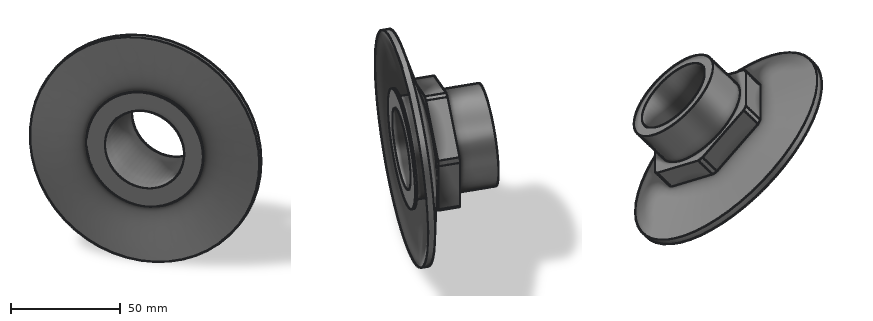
import cadquery as cq
import math

overall_length = 40.0
bore_diameter = 38.0
sleeve_diameter = 47.8
head_diameter = 56.0
head_thickness = 1.0

flange_diameter = 110.0
rim_thickness = 3.3
flange_depth = 11.2
flange_hole_diameter = 49.0
flange_inner_depth = flange_depth - rim_thickness

nut_thickness = 10.0
nut_across_flats = 55.0
nut_corner_diameter = 62.0


def cylinder_along_y(diameter, start_y, end_y):
    """Solid cylinder around the Y axis between two Y positions."""
    return (
        cq.Workplane("XZ", origin=(0, start_y, 0))
        .circle(diameter / 2)
        .extrude(start_y - end_y)
    )


def make_bushing():
    """Sleeve with a thin flat head at the front of the flange."""
    head = cylinder_along_y(head_diameter, 0, head_thickness)
    sleeve = cylinder_along_y(sleeve_diameter, 0, overall_length)
    bore = cylinder_along_y(bore_diameter, 0, overall_length)
    return head.union(sleeve).cut(bore)


def make_flange():
    """Dished conical plate of constant axial thickness around a clearance hole."""
    hole_radius = flange_hole_diameter / 2
    rim_radius = flange_diameter / 2
    return (
        cq.Workplane("XY")
        .moveTo(hole_radius, flange_inner_depth)
        .lineTo(rim_radius, 0)
        .lineTo(rim_radius, rim_thickness)
        .lineTo(hole_radius, flange_depth)
        .close()
        .revolve(360, (0, 0, 0), (0, 1, 0))
    )


def make_nut():
    """Hexagonal nut with corners along Z, trimmed by a cylinder."""
    end_y = flange_depth + nut_thickness
    hexagon = (
        cq.Workplane("XZ", origin=(0, flange_depth, 0))
        .transformed(rotate=(0, 0, 90))
        .polygon(6, nut_across_flats / math.cos(math.pi / 6))
        .extrude(-nut_thickness)
    )
    corner_trim = cylinder_along_y(nut_corner_diameter, flange_depth, end_y)
    hole = cylinder_along_y(sleeve_diameter, flange_depth, end_y)
    return hexagon.intersect(corner_trim).cut(hole)


bushing = make_bushing()
flange = make_flange()
nut = make_nut()

result = cq.Compound.makeCompound([bushing.val(), flange.val(), nut.val()])